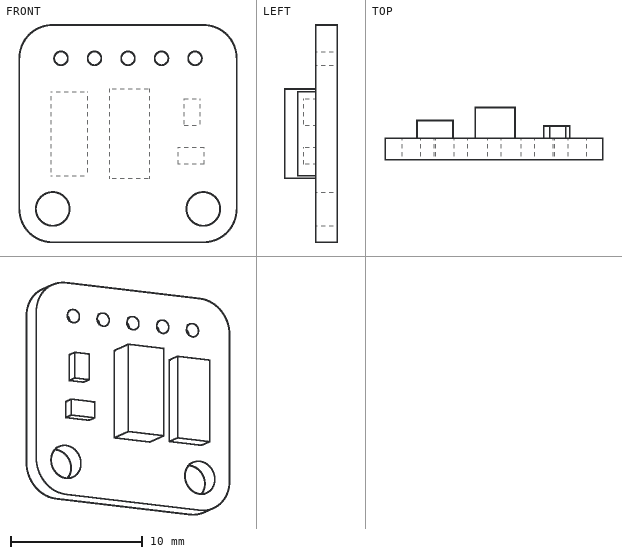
import cadquery as cq


board_side = 16.51
board_thickness = 1.65
pitch = 2.55
corner_radius = pitch
mount_hole_diameter = pitch
mount_hole_offset = board_side / 2 - pitch
pin_hole_diameter = 1.02
pin_hole_count = 5
pin_row_z = board_side / 2 - pitch

sensor_width = 3.04
sensor_length = 6.8
sensor_height = 4.0 - board_thickness
sensor_x = 0.08

chip_width = 2.74
chip_length = 6.35
chip_height = 1.35
chip_x = -4.47

passive_length = 2.0
passive_width = 1.24
passive_height = 0.94
passive_spacing = 3.3
flat_passive_x = 4.75
upright_passive_x = 4.84


def make_board():
    """Rounded square plate with two mounting holes and a row of pin holes."""
    plate = (
        cq.Workplane("XY")
        .box(board_side, board_thickness, board_side, centered=(True, False, True))
        .edges("|Y")
        .fillet(corner_radius)
    )
    mount_points = [(side * mount_hole_offset, -mount_hole_offset) for side in (-1, 1)]
    first_pin_x = -pitch * (pin_hole_count - 1) / 2
    pin_points = [(first_pin_x + i * pitch, pin_row_z) for i in range(pin_hole_count)]
    plate = plate.cut(make_drills(mount_points, mount_hole_diameter))
    return plate.cut(make_drills(pin_points, pin_hole_diameter))


def make_drills(points, diameter):
    """Cylinders through the board at the given (x, z) points."""
    return cq.Workplane("XZ").pushPoints(points).circle(diameter / 2).extrude(-board_thickness)


def make_component(size_x, height, size_z, x, z=0.0):
    """Plain block seated on the +Y face of the board, centred at (x, z)."""
    return (
        cq.Workplane("XY")
        .box(size_x, height, size_z, centered=(True, False, True))
        .translate((x, board_thickness, z))
    )


board = make_board()
sensor = make_component(sensor_width, sensor_height, sensor_length, sensor_x)
chip = make_component(chip_width, chip_height, chip_length, chip_x)

passives = []
for size_x, size_z, x, z in (
    (passive_width, passive_length, upright_passive_x, passive_spacing / 2),
    (passive_length, passive_width, flat_passive_x, -passive_spacing / 2),
):
    passives.append(make_component(size_x, passive_height, size_z, x, z))

result = cq.Compound.makeCompound(
    [board.val(), sensor.val(), chip.val(), *[passive.val() for passive in passives]]
)